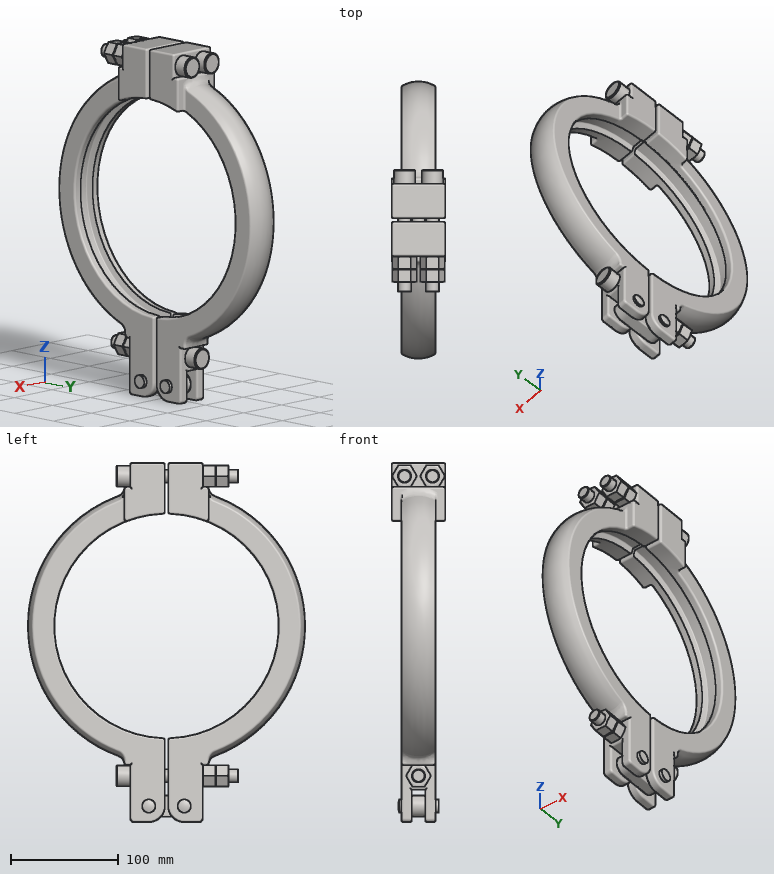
import cadquery as cq
import math


ring_half_width = 15.82
bore_radius = 104.0
ring_outer_radius = 128.5
crown_radius = 30.0
half_gap = 1.5
edge_fillet = 2.0

groove_half_opening = 8.0
groove_half_floor = 6.0
groove_depth = 6.0
groove_floor_fillet = 1.3

ear_y = 33.5
neck_y = 39.0
neck_z = 129.0
neck_blend_radius = 8.3
top_ear_half_width = 25.0
top_ear_z = 151.2

lug_bottom_z = -181.8
lug_outer_corner = 3.5
lug_inner_corner = 15.0
slot_half_width = 6.15
slot_top_z = -152.0

pin_y = half_gap + lug_inner_corner
pin_z = lug_bottom_z + lug_inner_corner
pin_radius = 6.15
pin_end_x = 19.0
pin_dome_height = 1.15
link_radius = 10.0
link_edge_fillet = 1.3

bolt_z = 139.0
bolt_offset_x = 13.0
bolt_radius = 6.15
bolt_tip_y = -66.5
bolt_tip_chamfer = 0.5
head_radius = 9.82
head_height = 13.0
head_chamfer = 1.0
nut_half_flats = 10.0
nut_height = 12.0
nut_chamfer_radius = 9.0
nut_chamfer_angle = 15.0


def block(half_x, y_min, y_max, z_min, z_max):
    """Box centred on X = 0 between the given Y and Z limits."""
    box = cq.Workplane("XY").box(2 * half_x, y_max - y_min, z_max - z_min)
    return box.translate((0, (y_min + y_max) / 2, (z_min + z_max) / 2))


def cylinder_y(radius, y_start, length):
    """Cylinder about the Y axis, running from y_start toward -Y."""
    return cq.Workplane("XZ", origin=(0, y_start, 0)).circle(radius).extrude(length)


def ring():
    """Full ring with a flat bore and a crowned outer face."""
    crown_drop = crown_radius - math.sqrt(crown_radius**2 - ring_half_width**2)
    side_radius = ring_outer_radius - crown_drop
    return (
        cq.Workplane("XY")
        .moveTo(-ring_half_width, bore_radius)
        .lineTo(-ring_half_width, side_radius)
        .threePointArc((0, ring_outer_radius), (ring_half_width, side_radius))
        .lineTo(ring_half_width, bore_radius)
        .close()
        .revolve(360, (0, 0, 0), (1, 0, 0))
    )


def ring_groove():
    """Ring-shaped cutter for the groove with sloping walls in the bore."""
    floor_radius = bore_radius + groove_depth
    return (
        cq.Workplane("XY")
        .polyline([
            (-groove_half_opening, 0),
            (-groove_half_opening, bore_radius),
            (-groove_half_floor, floor_radius),
            (groove_half_floor, floor_radius),
            (groove_half_opening, bore_radius),
            (groove_half_opening, 0),
        ])
        .close()
        .revolve(360, (0, 0, 0), (1, 0, 0))
        .edges(cq.selectors.RadiusNthSelector(-1))
        .fillet(groove_floor_fillet)
    )


def top_ear():
    """Wide block for two bolts, stepped outward to the neck."""
    ear = block(top_ear_half_width, half_gap, ear_y, 0, top_ear_z)
    return ear.union(block(top_ear_half_width, half_gap, neck_y, 0, neck_z))


def hinge_lug():
    """Lug as wide as the ring, with two rounded lower corners."""
    lug = block(ring_half_width, half_gap, ear_y, lug_bottom_z, 0)
    lower_corners = lug.faces("<Z").edges("|X")
    lug = lower_corners.edges(">Y").fillet(lug_outer_corner)
    lug = lug.edges("|X").edges("<Y").edges("<Z").fillet(lug_inner_corner)
    return lug.union(block(ring_half_width, half_gap, neck_y, -neck_z, 0))


def is_inside_corner(edge):
    """True for the corner lines at the steps to the necks and along the slot roof."""
    middle = edge.Center()
    at_neck_step = math.isclose(middle.y, ear_y) and math.isclose(abs(middle.z), neck_z)
    in_mid_width = abs(middle.x) < slot_half_width
    at_slot_side = math.isclose(abs(middle.x), slot_half_width)
    at_slot_roof = math.isclose(middle.z, slot_top_z)
    return (at_neck_step and in_mid_width) or (at_slot_side and at_slot_roof)


def half_clamp():
    """Half of the clamp on the +Y side, with all edges rounded."""
    reach = 2 * ring_outer_radius
    half = ring().intersect(block(reach, half_gap, reach, -reach, reach))
    half = half.union(top_ear()).union(hinge_lug())
    half = half.cut(cq.Workplane("YZ").circle(bore_radius).extrude(reach, both=True))
    half = half.cut(block(slot_half_width, 0, reach, -reach, slot_top_z)).clean()

    half = half.edges("%BSPLINE").fillet(neck_blend_radius)

    rounded_edges = [edge for edge in half.edges().vals() if not is_inside_corner(edge)]
    half = half.newObject(rounded_edges).fillet(edge_fillet)
    return half.cut(ring_groove())


def hinge_link():
    """Straight link with round ends that fills the slot width and joins the two pins."""
    return (
        cq.Workplane("YZ")
        .center(0, pin_z)
        .slot2D(2 * (pin_y + link_radius), 2 * link_radius)
        .extrude(slot_half_width, both=True)
        .faces("<X or >X")
        .edges()
        .fillet(link_edge_fillet)
    )


def hinge_pin(y):
    """Pin along X with a domed end on the -X side."""
    dome_radius = (pin_radius**2 + pin_dome_height**2) / (2 * pin_dome_height)
    dome_base_x = -(pin_end_x - pin_dome_height)
    return (
        cq.Workplane("XY")
        .moveTo(-pin_end_x, 0)
        .radiusArc((dome_base_x, pin_radius), dome_radius)
        .lineTo(pin_end_x, pin_radius)
        .lineTo(pin_end_x, 0)
        .close()
        .revolve(360, (0, 0, 0), (1, 0, 0))
        .translate((0, y, pin_z))
    )


def nut(y_start):
    """Hexagon nut about the Y axis with its corners turned off at both ends."""
    corner_radius = nut_half_flats / math.cos(math.pi / 6)
    slope = math.tan(math.radians(nut_chamfer_angle))
    chamfer_depth = (corner_radius - nut_chamfer_radius) * slope
    hexagon = (
        cq.Workplane("XZ", origin=(0, y_start, 0))
        .polygon(6, 2 * corner_radius)
        .extrude(nut_height)
    )
    turned_envelope = (
        cq.Workplane("XY")
        .polyline([
            (0, y_start),
            (nut_chamfer_radius, y_start),
            (corner_radius, y_start - chamfer_depth),
            (corner_radius, y_start - nut_height + chamfer_depth),
            (nut_chamfer_radius, y_start - nut_height),
            (0, y_start - nut_height),
        ])
        .close()
        .revolve(360, (0, 0, 0), (0, 1, 0))
    )
    return hexagon.intersect(turned_envelope)


def bolt(x, z):
    """Bolt along Y with its head on the +Y side and two nuts on the -Y side."""
    head = cylinder_y(head_radius, ear_y + head_height, head_height)
    head = head.faces(">Y").edges().chamfer(head_chamfer)
    shank = cylinder_y(bolt_radius, ear_y, ear_y - bolt_tip_y)
    shank = shank.faces("<Y").edges().chamfer(bolt_tip_chamfer)
    fastener = head.union(shank)
    for nut_start in (-ear_y, -ear_y - nut_height):
        fastener = fastener.union(nut(nut_start), clean=False)
    return fastener.translate((x, 0, z))


def clamp():
    """Both halves, joined by the link and the pins of the hinge."""
    half = half_clamp()
    body = half.union(half.mirror("XZ")).union(hinge_link())
    for y in (-pin_y, pin_y):
        body = body.union(hinge_pin(y))
    for x, z in bolt_places:
        body = body.cut(cylinder_y(bolt_radius, ear_y, 2 * ear_y).translate((x, 0, z)))
    return body


bolt_places = [(-bolt_offset_x, bolt_z), (bolt_offset_x, bolt_z), (0, -bolt_z)]
bolts = [bolt(x, z) for x, z in bolt_places]
result = cq.Compound.makeCompound([clamp().val(), *[item.val() for item in bolts]])